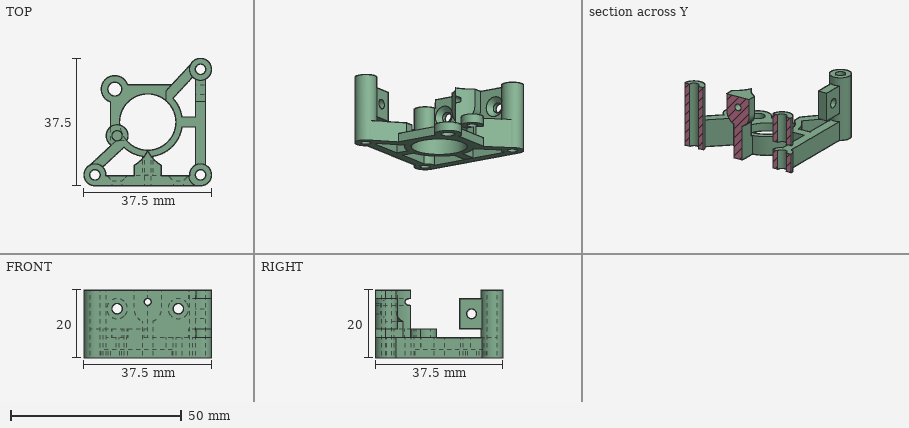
import cadquery as cq
import math

SIZE = 37.5
HEIGHT = 20.0
PLATE_TOP = 2.6
RING_TOP = 6.0
ARM_TOP = 8.6
TAB_TOP = 17.45

POST_D = 6.5
PIN_D = 3.0
POST = (SIZE - POST_D) / 2
HINGE_CLEARANCE_D = 7.0

BORE_D = 16.5
RING_D = 20.4
PLATE_EDGE = 11.0
PLATE_INNER = RING_D / 2 * math.sqrt(0.5)
EYE = 9.68
EYE_D = 8.02
EYE_HOLE_D = 4.0
RING_CUT = 5.4

BAR = 3.0
ARM_ANGLE = 47.1
ARM_OFFSET = 0.1
ARM_LENGTH = 18.75

PIVOT_X = 9.0
PIVOT_Y = -4.0

WALL_BACK = -SIZE / 2 + BAR
AXIS_Z = 14.5
PAD_R = 4.0
PAD_SWING_R = 10.0
SINK_DEPTH = 1.5
PIN_HOLE_D = 2.0
PIN_HOLE_Z = 16.5

TAB_END = 6.0
TAB_HOLE_D = 2.8
TAB_HOLE_Y = 9.5
TAB_HOLE_Z = (ARM_TOP + TAB_TOP) / 2


def block(x0, x1, y0, y1, z0, z1):
    return cq.Workplane("XY").box(x1 - x0, y1 - y0, z1 - z0, centered=False).translate((x0, y0, z0))


def post(x, y, diameter, z0, z1):
    return cq.Workplane("XY").center(x, y).circle(diameter / 2).extrude(z1 - z0).translate((0, 0, z0))


def cylinder_along_y(x, z, diameter, y0, y1):
    return cq.Workplane("XZ", origin=(0, y1, 0)).center(x, z).circle(diameter / 2).extrude(y1 - y0)


def corner_region(x0, y1, z0, z1):
    """Region holding everything right of x0 and in front of y1."""
    return block(x0, SIZE, -SIZE, y1, z0, z1)


def rear_arm(z0, z1):
    """Slanted arm whose inner edge passes close to the centre of the rear right post."""
    arm = block(-ARM_LENGTH, 0, ARM_OFFSET, ARM_OFFSET + BAR, z0, z1)
    arm = arm.rotate((0, 0, 0), (0, 0, 1), ARM_ANGLE).translate((POST, POST, 0))
    return arm.intersect(corner_region(RING_CUT, SIZE, z0, z1))


def front_arm(z0, z1):
    """Rear arm mirrored across the diagonal x = -y."""
    turned = rear_arm(z0, z1).mirror("YZ")
    return turned.rotate((0, 0, 0), (0, 0, 1), 90)


def base_plate():
    plate = block(-PLATE_EDGE, PLATE_INNER, -PLATE_INNER, PLATE_EDGE, 0, PLATE_TOP)
    plate = plate.union(post(-EYE, EYE, EYE_D, 0, PLATE_TOP))
    return plate.union(post(0, 0, RING_D, 0, PLATE_TOP))


def bore():
    return post(0, 0, BORE_D, 0, ARM_TOP)


def raised_ring():
    """Ring above the plate, open on its rear left side between the two arms."""
    ring = post(0, 0, RING_D, PLATE_TOP, RING_TOP)
    upper_part = corner_region(RING_CUT, SIZE, PLATE_TOP, RING_TOP)
    lower_part = corner_region(-SIZE, -RING_CUT, PLATE_TOP, RING_TOP)
    right_part = corner_region(0, 0, PLATE_TOP, RING_TOP)
    return ring.intersect(upper_part.union(lower_part).union(right_part))


def struts():
    side = block(POST - BAR / 2, POST + BAR / 2, -POST, POST, 0, RING_TOP)
    right = block(0, POST, -BAR / 2, BAR / 2, 0, RING_TOP)
    front = block(-BAR / 2, BAR / 2, -POST, 0, 0, RING_TOP)
    return side.union(right).union(front)


def pivot_arm():
    """Top layer of the front arm: pivot boss and the ring quarter leading to the pad."""
    quarter = post(0, 0, RING_D, RING_TOP, ARM_TOP)
    quarter = quarter.intersect(block(-SIZE, 0, -SIZE, -RING_CUT, RING_TOP, ARM_TOP))
    boss = post(-PIVOT_X, PIVOT_Y, POST_D, RING_TOP, ARM_TOP)
    return front_arm(RING_TOP, ARM_TOP).union(quarter).cut(bore()).union(boss)


def front_pad():
    """Pad with a round underside on a thin rib, ending in a vertical knife edge."""
    pad = block(-PAD_R, PAD_R, -SIZE / 2, 0, AXIS_Z, HEIGHT)
    pad = pad.union(cylinder_along_y(0, AXIS_Z, 2 * PAD_R, -SIZE / 2, 0))
    pad = pad.union(block(-BAR / 2, BAR / 2, -SIZE / 2, 0, RING_TOP, AXIS_Z))
    pad = pad.intersect(block(-SIZE, SIZE, -SIZE / 2, -BORE_D / 2, 0, HEIGHT))
    for x in (-PIVOT_X, PIVOT_X):
        pad = pad.cut(post(x, PIVOT_Y, 2 * PAD_SWING_R, 0, HEIGHT))
    return pad


def countersink(x):
    """Cone opening from the pin diameter toward the back of the wall."""
    cone = cq.Workplane("XZ", origin=(x, WALL_BACK, AXIS_Z)).circle(PIN_D / 2 + SINK_DEPTH)
    return cone.workplane(offset=SINK_DEPTH).circle(PIN_D / 2).loft()


def hinge_tab():
    tab = block(POST - BAR / 2, POST + BAR / 2, TAB_END, POST, ARM_TOP, TAB_TOP)
    hole = cq.Workplane("YZ").center(TAB_HOLE_Y, TAB_HOLE_Z).circle(TAB_HOLE_D / 2).extrude(SIZE)
    return tab.cut(hole)


frame = base_plate().union(raised_ring()).union(struts())
frame = frame.union(rear_arm(0, RING_TOP)).union(front_arm(0, RING_TOP))
frame = frame.cut(bore()).union(pivot_arm())

wall = block(-POST, POST, -SIZE / 2, WALL_BACK, 0, HEIGHT)
for bottom, top in ((RING_TOP, ARM_TOP), (TAB_TOP, HEIGHT)):
    wall = wall.cut(post(POST, -POST, HINGE_CLEARANCE_D, bottom, top))
for x in (-PIVOT_X, PIVOT_X):
    wall = wall.cut(countersink(x))

result = frame.union(wall).union(front_pad()).union(hinge_tab())
for x, y, bottom, top in (
    (-POST, -POST, 0, HEIGHT),
    (POST, POST, 0, HEIGHT),
    (POST, -POST, 0, RING_TOP),
    (POST, -POST, ARM_TOP, TAB_TOP),
):
    result = result.union(post(x, y, POST_D, bottom, top))

for x, y in ((-POST, -POST), (POST, POST), (POST, -POST)):
    result = result.cut(post(x, y, PIN_D, 0, HEIGHT))
result = result.cut(post(-EYE, EYE, EYE_HOLE_D, 0, PLATE_TOP))
result = result.cut(post(-PIVOT_X, PIVOT_Y, PIN_D, PLATE_TOP, ARM_TOP))

for x in (-PIVOT_X, PIVOT_X):
    result = result.cut(cylinder_along_y(x, AXIS_Z, PIN_D, -SIZE / 2, WALL_BACK))
result = result.cut(cylinder_along_y(0, PIN_HOLE_Z, PIN_HOLE_D, -SIZE / 2, 0))